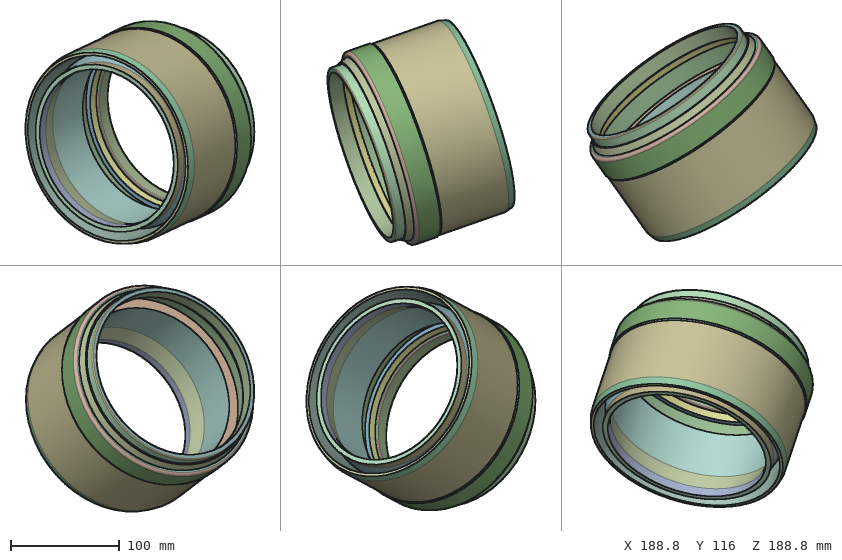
import cadquery as cq
import math


length = 116.0
wall = 4.7
lead_angle = math.radians(15.0)
shoulder_angle = math.radians(22.5)

sleeve_radius = 187.0 / 2
sleeve_taper_length = 7.0
gap_outer_radius = sleeve_radius - wall

mouth_radius = 150.9 / 2
mouth_length = 9.1
nose_radius = mouth_radius + wall
nose_length = mouth_length
bore_radius = 160.7 / 2
tube_radius = bore_radius + wall

collar_radius = 188.8 / 2
collar_ramp_start = 73.0
collar_ramp_end = 74.6
collar_end = 99.0
collar_fillet = 3.0
recess_radius = collar_radius - wall
recess_start = 75.7
recess_end = 94.4
gap_depth = recess_start - wall

spigot_radius = 170.4 / 2
spigot_bore_radius = spigot_radius - wall
spigot_start = 106.0
shoulder_radius = 86.6
step_position = 101.4
edge_fillet = 1.0


def taper_rise(taper_length, angle):
    """Change of radius along a taper."""
    return taper_length * math.tan(angle)


def taper_run(radius_change, angle):
    """Length of a taper that changes the radius by the given amount."""
    return radius_change / math.tan(angle)


def fillet_mid(centre_radius, centre_station, fillet, radial_sign, axial_sign):
    """Middle point of a quarter-round fillet about its centre."""
    offset = fillet * math.sqrt(0.5)
    return (centre_radius + radial_sign * offset, centre_station + axial_sign * offset)


def outer_profile(profile):
    """Outside of the sleeve, collar and spigot, from front to back."""
    shoulder_base = shoulder_radius + taper_rise(spigot_start - collar_end, shoulder_angle)
    collar_round = (collar_radius - collar_fillet, collar_end - collar_fillet)
    spigot_round = (spigot_radius - edge_fillet, length - edge_fillet)
    return (
        profile
        .lineTo(sleeve_radius, sleeve_taper_length)
        .lineTo(sleeve_radius, collar_ramp_start)
        .lineTo(collar_radius, collar_ramp_end)
        .lineTo(collar_radius, collar_round[1])
        .threePointArc(fillet_mid(*collar_round, collar_fillet, 1, 1), (collar_round[0], collar_end))
        .lineTo(shoulder_base, collar_end)
        .lineTo(shoulder_radius, spigot_start)
        .lineTo(spigot_radius, spigot_start)
        .lineTo(spigot_radius, spigot_round[1])
        .threePointArc(fillet_mid(*spigot_round, edge_fillet, 1, 1), (spigot_round[0], length))
    )


def inner_profile(profile):
    """Inside of the spigot, recess, bore and mouth, from back to front."""
    step_outer_radius = tube_radius - taper_rise(step_position - recess_end, lead_angle)
    step_round = (spigot_bore_radius + edge_fillet, step_position + edge_fillet)
    mouth_taper_end = mouth_length + taper_run(bore_radius - mouth_radius, lead_angle)
    return (
        profile
        .lineTo(spigot_bore_radius, length)
        .lineTo(spigot_bore_radius, step_round[1])
        .threePointArc(fillet_mid(*step_round, edge_fillet, -1, -1), (step_round[0], step_position))
        .lineTo(step_outer_radius, step_position)
        .lineTo(tube_radius, recess_end)
        .lineTo(recess_radius, recess_end)
        .lineTo(recess_radius, recess_start)
        .lineTo(bore_radius, recess_start)
        .lineTo(bore_radius, mouth_taper_end)
        .lineTo(mouth_radius, mouth_length)
        .lineTo(mouth_radius, 0)
    )


def gap_profile(profile):
    """Outside of the nose and tube, then the gap's floor and outer wall."""
    nose_taper_end = nose_length + taper_run(tube_radius - nose_radius, lead_angle)
    return (
        profile
        .lineTo(nose_radius, 0)
        .lineTo(nose_radius, nose_length)
        .lineTo(tube_radius, nose_taper_end)
        .lineTo(tube_radius, gap_depth)
        .lineTo(gap_outer_radius, gap_depth)
        .lineTo(gap_outer_radius, 0)
    )


front_edge_radius = sleeve_radius - taper_rise(sleeve_taper_length, lead_angle)
section = cq.Workplane("XY").moveTo(front_edge_radius, 0)
section = outer_profile(section)
section = inner_profile(section)
section = gap_profile(section).close()

result = section.revolve(360, (0, 0, 0), (0, 1, 0))